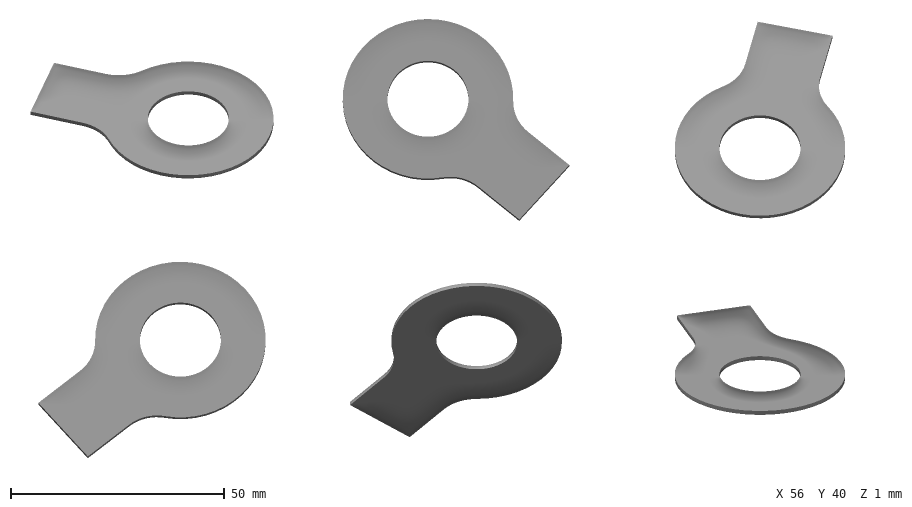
import cadquery as cq
import math

overall_length = 55.95
disc_diameter = 40.0
thickness = 1.0

tab_width = 18.0
neck_radius = 10.0
hole_diameter = 19.0

disc_radius = disc_diameter / 2
half_tab = tab_width / 2
tab_end_x = disc_radius - overall_length

neck_center_y = half_tab + neck_radius
center_distance = disc_radius + neck_radius
neck_center_x = -math.sqrt(center_distance**2 - neck_center_y**2)

tangent_x = neck_center_x * disc_radius / center_distance
tangent_y = neck_center_y * disc_radius / center_distance

disc_direction = math.atan2(-neck_center_y, -neck_center_x)
middle_direction = (disc_direction - math.pi / 2) / 2
neck_middle_x = neck_center_x + neck_radius * math.cos(middle_direction)
neck_middle_y = neck_center_y + neck_radius * math.sin(middle_direction)

blank = (
    cq.Workplane("XY")
    .moveTo(tab_end_x, -half_tab)
    .lineTo(neck_center_x, -half_tab)
    .threePointArc((neck_middle_x, -neck_middle_y), (tangent_x, -tangent_y))
    .threePointArc((disc_radius, 0), (tangent_x, tangent_y))
    .threePointArc((neck_middle_x, neck_middle_y), (neck_center_x, half_tab))
    .lineTo(tab_end_x, half_tab)
    .close()
    .extrude(thickness)
)

result = blank.faces(">Z").workplane(origin=(0, 0, thickness)).hole(hole_diameter)